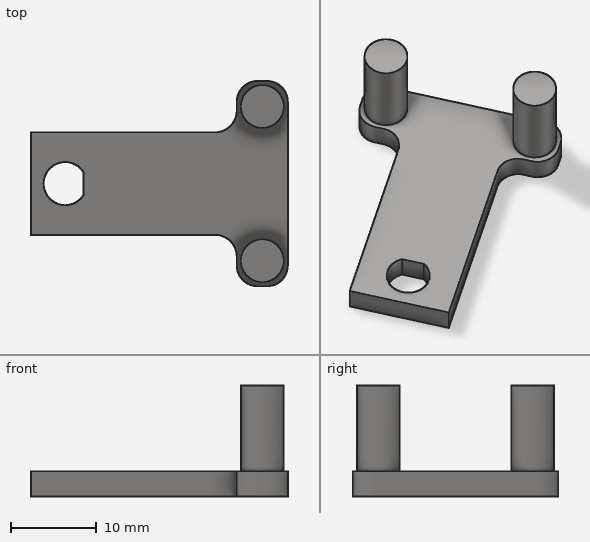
import cadquery as cq

length = 30.0
crossbar_span = 24.0
crossbar_width = 6.0
stem_width = 12.0
thickness = 3.0

pin_diameter = 5.0
pin_height = 10.0
pin_spacing = 18.0

corner_radius = 2.5

hole_diameter = pin_diameter
hole_x = 4.0
hole_flat_offset = 2.13

crossbar_x = length - crossbar_width / 2


def make_plate():
    """T-shaped plate, rounded everywhere but at the free end of the stem."""
    stem = cq.Workplane("XY").box(length, stem_width, thickness, centered=(False, True, False))
    crossbar = (
        cq.Workplane("XY")
        .center(crossbar_x, 0)
        .box(crossbar_width, crossbar_span, thickness, centered=(True, True, False))
    )
    return stem.union(crossbar).clean().edges("|Z").edges("not <X").fillet(corner_radius)


def make_pins():
    """Two round pins, rooted at the underside of the plate."""
    return (
        cq.Workplane("XY")
        .pushPoints([(crossbar_x, side * pin_spacing / 2) for side in (-1, 1)])
        .circle(pin_diameter / 2)
        .extrude(thickness + pin_height)
    )


def make_hole():
    """Round cutter with a flat on the side facing the crossbar."""
    radius = hole_diameter / 2
    cutter = cq.Workplane("XY").center(hole_x, 0).circle(radius).extrude(thickness)
    d_width = radius + hole_flat_offset
    keep = (
        cq.Workplane("XY")
        .center(hole_x - radius, 0)
        .box(d_width, hole_diameter, thickness, centered=(False, True, False))
    )
    return cutter.intersect(keep)


result = make_plate().union(make_pins()).cut(make_hole())